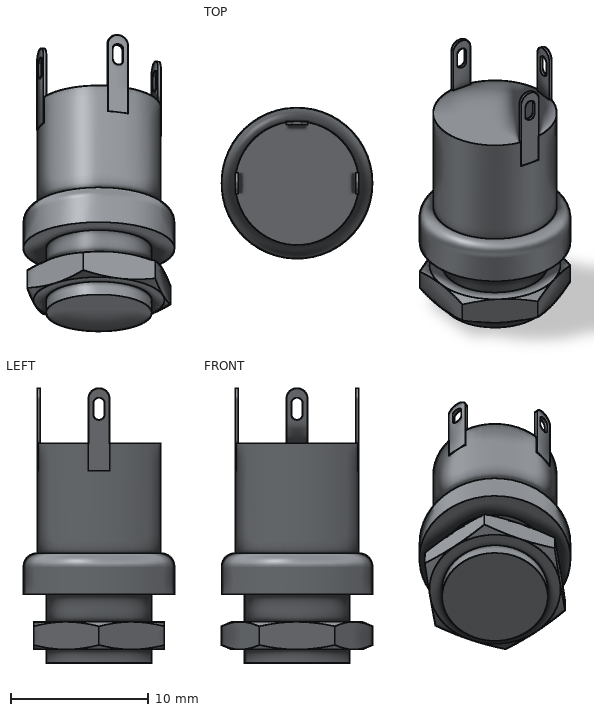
import cadquery as cq
import math

overall_height = 20.0
body_radius = 4.5
body_top = 16.0
flange_radius = 5.5
flange_bottom = 5.0
flange_top = 8.0
flange_round = flange_radius - body_radius
neck_radius = 3.85

nut_bottom = 1.0
nut_height = 2.0
nut_corner_radius = flange_radius
nut_flat_radius = nut_corner_radius * math.cos(math.pi / 6)
nut_chamfer_drop = 0.32

tab_width = 1.55
tab_thickness = 0.25
tab_bottom = 14.0
tab_outer_face = body_radius
tab_angles = (0, 90, 180)
slot_width = 0.8
slot_length = 1.6
slot_center = 18.5


def cylinder(radius, bottom, top):
    return cq.Workplane("XY").workplane(offset=bottom).circle(radius).extrude(top - bottom)


def make_flange():
    return cylinder(flange_radius, flange_bottom, flange_top).edges(">Z").fillet(flange_round)


def make_nut():
    hexagon = (
        cq.Workplane("XY")
        .workplane(offset=nut_bottom)
        .polygon(6, 2 * nut_corner_radius)
        .extrude(nut_height)
    )
    nut_top = nut_bottom + nut_height
    blank = (
        cq.Workplane("XZ")
        .polyline([
            (0, nut_bottom),
            (nut_flat_radius, nut_bottom),
            (nut_corner_radius, nut_bottom + nut_chamfer_drop),
            (nut_corner_radius, nut_top - nut_chamfer_drop),
            (nut_flat_radius, nut_top),
            (0, nut_top),
        ])
        .close()
        .revolve(360, (0, 0), (0, 1))
    )
    return hexagon.intersect(blank)


def make_tab(angle):
    """Round-ended slotted tab on the +X side, turned about Z by angle."""
    half_width = tab_width / 2
    arc_start = overall_height - half_width
    inner_face = cq.Workplane("YZ").workplane(offset=tab_outer_face - tab_thickness)
    tab = (
        inner_face
        .moveTo(-half_width, tab_bottom)
        .lineTo(half_width, tab_bottom)
        .lineTo(half_width, arc_start)
        .threePointArc((0, overall_height), (-half_width, arc_start))
        .close()
        .extrude(tab_thickness)
    )
    slot = inner_face.center(0, slot_center).slot2D(slot_length, slot_width, 90).extrude(tab_thickness)
    return tab.cut(slot).rotate((0, 0, 0), (0, 0, 1), angle)


result = cylinder(neck_radius, 0, flange_bottom)
result = result.union(make_nut())
result = result.union(make_flange())
result = result.union(cylinder(body_radius, flange_top, body_top))
for tab_angle in tab_angles:
    result = result.union(make_tab(tab_angle))